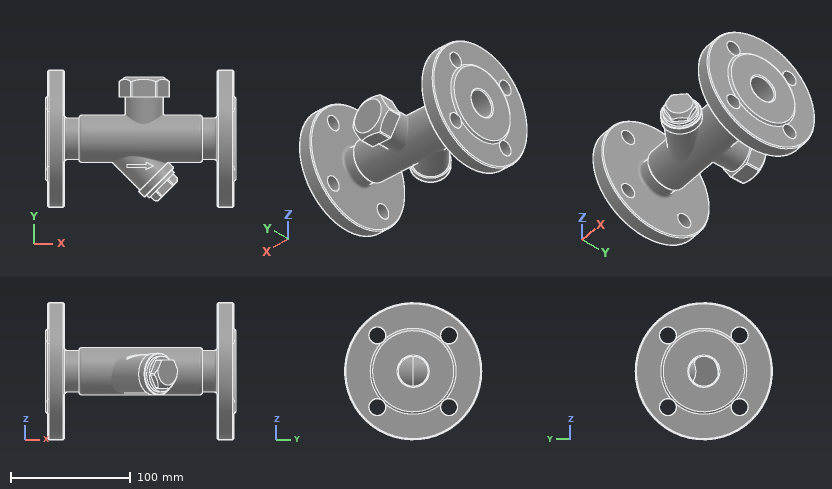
import cadquery as cq
import math

overall_length = 160.0
bore_diameter = 25.0
bore_chamfer = 1.0

flange_diameter = 115.0
flange_thickness = 16.0
flange_edge_chamfer = 1.0
raised_face_height = 2.0
raised_face_diameter = 68.0
bolt_circle_diameter = 85.0
bolt_hole_diameter = 14.0
bolt_hole_count = 4
first_bolt_angle = 45.0

neck_diameter = 35.0
neck_fillet = 2.5
body_diameter = 40.0
body_length = 104.0
body_end_fillet = 3.0

hub_x = 2.9
hub_diameter = 32.0
hub_fillet = 1.0
cap_start_y = 35.0
cap_end_y = 52.0
cap_across_flats = 37.0
cap_corner_diameter = 42.0
cap_rotation = 1.5
cap_face_diameter = 31.0
cap_bevel_angle = 35.0

branch_angle = -45.0
branch_x = -21.2
branch_z = -2.4
branch_diameter = 32.0
branch_fillet = 1.0

branch_start = 1.0
collar_start = 45.0
ring_start = 52.0
plug_start = 55.0
plug_end = 62.0

collar_diameter = 35.0
collar_chamfer = 0.5
ring_diameter = 30.0
plug_across_flats = 24.0
plug_corner_diameter = 27.0
plug_face_diameter = 23.0
plug_bevel_angle = 45.0

arrow_height = 0.3
arrow_start_x = -11.5
arrow_tip_x = 10.7
arrow_y = -22.7
arrow_head_length = 6.3
arrow_head_width = 6.0
arrow_shaft_width = 2.5

seam_margin = 1.0


def hex_prism(plane, across_flats, corner_diameter, length, rotation=0.0):
    """Hexagonal prism with blunted corners, a corner pointing along the plane's x axis."""
    hexagon = (
        cq.Workplane(plane)
        .polygon(6, across_flats / math.cos(math.pi / 6))
        .extrude(length)
        .rotate(plane.origin.toTuple(), (plane.origin + plane.zDir).toTuple(), rotation)
    )
    return hexagon.intersect(cq.Workplane(plane).circle(corner_diameter / 2).extrude(length))


def bevel_cone(plane, length, face_diameter, bevel_angle):
    """Cone along the plane normal, narrowing to face_diameter at the end of length."""
    face_radius = face_diameter / 2
    spread = length / math.tan(math.radians(bevel_angle))
    return (
        cq.Workplane(plane)
        .circle(face_radius + spread)
        .workplane(offset=length)
        .circle(face_radius)
        .loft()
    )


def branch_plane(distance, z=branch_z):
    """Plane square to the branch axis, at a distance along it; its x axis is horizontal."""
    angle = math.radians(branch_angle)
    direction = (math.cos(angle), math.sin(angle), 0)
    origin = (branch_x + distance * direction[0], distance * direction[1], z)
    return cq.Plane(origin=origin, xDir=(-direction[1], direction[0], 0), normal=direction)


def make_run():
    """Flanges with their bolt holes, necks and body, all solid and centred on X."""
    half_length = overall_length / 2
    half_body = body_length / 2
    body_radius = body_diameter / 2
    neck_radius = neck_diameter / 2
    flange_radius = flange_diameter / 2
    face_radius = raised_face_diameter / 2
    flange_inner = half_length - flange_thickness
    flange_outer = half_length - raised_face_height

    half_run = (
        cq.Workplane("XY")
        .moveTo(0, 0)
        .lineTo(0, neck_radius)
        .lineTo(flange_inner - neck_fillet, neck_radius)
        .radiusArc((flange_inner, neck_radius + neck_fillet), -neck_fillet)
        .lineTo(flange_inner, flange_radius - flange_edge_chamfer)
        .lineTo(flange_inner + flange_edge_chamfer, flange_radius)
        .lineTo(flange_outer - flange_edge_chamfer, flange_radius)
        .lineTo(flange_outer, flange_radius - flange_edge_chamfer)
        .lineTo(flange_outer, face_radius + raised_face_height)
        .lineTo(half_length, face_radius)
        .lineTo(half_length, 0)
        .close()
        .revolve(360, (0, 0, 0), (1, 0, 0))
    )
    body = (
        cq.Workplane("YZ")
        .workplane(offset=-half_body)
        .circle(body_radius)
        .extrude(body_length)
        .edges()
        .fillet(body_end_fillet)
    )
    bolt_holes = (
        cq.Workplane("YZ")
        .workplane(offset=-half_length)
        .polarArray(bolt_circle_diameter / 2, first_bolt_angle, 360, bolt_hole_count)
        .circle(bolt_hole_diameter / 2)
        .extrude(overall_length)
    )
    ends = half_run.union(half_run.mirror("YZ")).cut(bolt_holes)
    return ends.union(body)


def hub_plane(y):
    """Plane square to the hub axis at height y along it."""
    return cq.Plane((hub_x, y, 0), xDir=(1, 0, 0), normal=(0, 1, 0))


def make_hub():
    """Solid round hub from the pipe axis out to the cap."""
    return cq.Workplane(hub_plane(0)).circle(hub_diameter / 2).extrude(cap_start_y)


def make_cap():
    """Hexagon cap on the hub, bevelled round its outer face."""
    plane = hub_plane(cap_start_y)
    length = cap_end_y - cap_start_y
    cap = hex_prism(plane, cap_across_flats, cap_corner_diameter, length, -cap_rotation)
    return cap.intersect(bevel_cone(plane, length, cap_face_diameter, cap_bevel_angle))


def make_branch():
    """Solid round branch from inside the pipe to the end of its collar."""
    return (
        cq.Workplane(branch_plane(branch_start))
        .circle(branch_diameter / 2)
        .extrude(ring_start - branch_start)
    )


def make_branch_end():
    """Collar, ring and hexagon plug that close the branch."""
    collar = (
        cq.Workplane(branch_plane(collar_start))
        .circle(collar_diameter / 2)
        .extrude(ring_start - collar_start)
        .faces(cq.selectors.DirectionMinMaxSelector(branch_plane(ring_start).zDir))
        .chamfer(collar_chamfer)
    )
    ring = (
        cq.Workplane(branch_plane(ring_start))
        .circle(ring_diameter / 2)
        .extrude(plug_start - ring_start)
    )
    plug_length = plug_end - plug_start
    plug = hex_prism(branch_plane(plug_start), plug_across_flats, plug_corner_diameter, plug_length)
    bevel_plane = branch_plane(plug_start, z=0)
    bevel = bevel_cone(bevel_plane, plug_length, plug_face_diameter, plug_bevel_angle)
    return collar.union(ring).union(plug.intersect(bevel))


def make_arrow():
    """Flow arrow pointing along +X, standing slightly proud of the branch surface."""
    head_x = arrow_tip_x - arrow_head_length
    head_half = arrow_head_width / 2
    shaft_half = arrow_shaft_width / 2
    arrow = (
        cq.Workplane("XY", origin=(0, arrow_y, 0))
        .polyline([
            (arrow_start_x, -shaft_half),
            (head_x, -shaft_half),
            (head_x, -head_half),
            (arrow_tip_x, 0),
            (head_x, head_half),
            (head_x, shaft_half),
            (arrow_start_x, shaft_half),
        ])
        .close()
        .extrude(branch_diameter)
    )
    skin = (
        cq.Workplane(branch_plane(branch_start))
        .circle(branch_diameter / 2 + arrow_height)
        .extrude(collar_start - branch_start)
    )
    return arrow.intersect(skin)


def make_bore(hub, branch):
    """Pipe bore with chamfered mouths, blocked by the hub and branch standing in it."""
    half_length = overall_length / 2
    bore_radius = bore_diameter / 2
    bore = (
        cq.Workplane("XY")
        .moveTo(-half_length, 0)
        .lineTo(-half_length, bore_radius + bore_chamfer)
        .lineTo(-half_length + bore_chamfer, bore_radius)
        .lineTo(half_length - bore_chamfer, bore_radius)
        .lineTo(half_length, bore_radius + bore_chamfer)
        .lineTo(half_length, 0)
        .close()
        .revolve(360, (0, 0, 0), (1, 0, 0))
    )
    return bore.cut(hub).cut(branch)


def joint_zone(side):
    """Selector for the seam where a stub joins the body on its +Y (side 1) or -Y (side -1)."""
    half_span = body_length / 2
    reach = body_diameter / 2 + seam_margin
    near = (-half_span, side * seam_margin, -reach)
    far = (half_span, side * reach, reach)
    return cq.selectors.BoxSelector(near, far)


hub = make_hub()
branch = make_branch()

run = make_run().union(hub).edges(joint_zone(1)).fillet(hub_fillet)
run = run.union(branch).edges(joint_zone(-1)).fillet(branch_fillet)
result = run.union(make_cap()).union(make_branch_end()).union(make_arrow())
result = result.cut(make_bore(hub, branch))